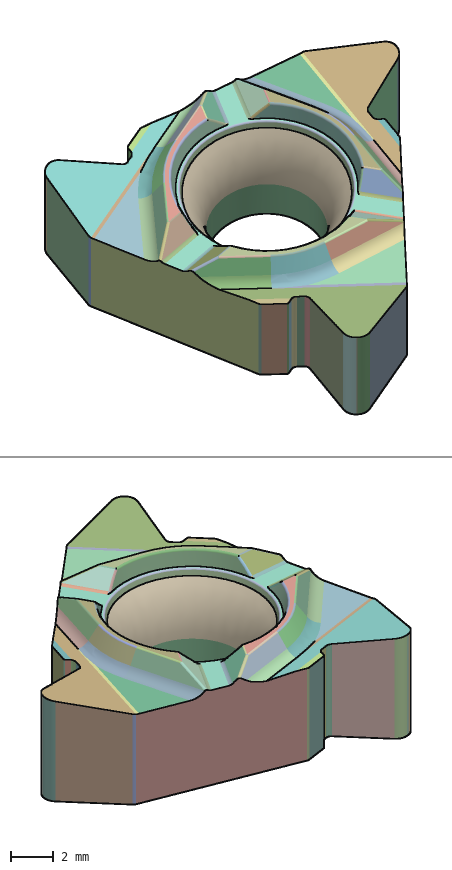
import cadquery as cq
import math


TOOTH_COUNT = 3
TOOTH_PITCH = 360 / TOOTH_COUNT
TOOTH_ANGLE = 60
NOTCH_WALL_ANGLE = 60

INSCRIBED_RADIUS = 12.7 / 2
OUTER_FLANK_DISTANCE = 8.52
INNER_FLANK_DISTANCE = 1.82
TIP_DISTANCE = 9.6
LAND_DISTANCE = 7.0
NOTCH_DISTANCE = 6.57
NOTCH_WIDTH = 0.70
TIP_RADIUS = 0.7
NOTCH_RADIUS = 0.3
LAND_RADIUS = 0.1
EDGE_RADIUS = 0.3

TOP_HEIGHT = 6.05
FLOOR_HEIGHT = 4.97
GROOVE_HEIGHT = 5.25

TOOTH_SLOPE = 9.5
CREASE_DISTANCE = 5.87
CREASE_RADIUS = 1.0
LAND_STEP_DISTANCE = 6.68
LAND_STEP_START = -1.2

SEAT_TOP_RADIUS = 4.84
SEAT_DRAFT = 36
SEAT_ARC_START = 90
SEAT_ARC_END = 122
SEAT_BASE_FILLET = 0.8
SEAT_EDGE_FILLET = 0.12

GROOVE_ANGLE = (SEAT_ARC_START + SEAT_ARC_END - TOOTH_PITCH) / 2
GROOVE_HALF_WIDTH = 0.55
GROOVE_TOP_HALF_WIDTH = 1.54
GROOVE_CORNER_RADIUS = 0.3

BORE_RADIUS = 5.7 / 2
BOWL_RADIUS = 4.0
BOWL_ANGLE = 44
RECESS_TOP_RADIUS = 4.50
RECESS_BOTTOM_RADIUS = 4.27
LIP_FILLET = 0.1
LIP_RADIUS = 4.10
LIP_DROP = 0.33

MARGIN = 1.0
REACH = 15.0
TOLERANCE = 0.01


def point_at(radius, angle):
    """Point at a radius and an angle in degrees."""
    return (radius * math.cos(math.radians(angle)), radius * math.sin(math.radians(angle)))


def rotated(point, angle):
    """Point turned about the origin by an angle in degrees."""
    c = math.cos(math.radians(angle))
    s = math.sin(math.radians(angle))
    return (c * point[0] - s * point[1], s * point[0] + c * point[1])


def line_crossing(line_a, line_b):
    """Crossing of two lines, each a (normal angle, distance from the origin) pair."""
    (angle_a, distance_a), (angle_b, distance_b) = line_a, line_b
    normal_a = point_at(1, angle_a)
    normal_b = point_at(1, angle_b)
    determinant = normal_a[0] * normal_b[1] - normal_a[1] * normal_b[0]
    x = (distance_a * normal_b[1] - distance_b * normal_a[1]) / determinant
    y = (distance_b * normal_a[0] - distance_a * normal_b[0]) / determinant
    return (x, y)


def rounded_polygon(plane, corners):
    """Closed outline through (point, radius) corners, each rounded by a tangent arc."""
    stretches = []
    for i, (corner, radius) in enumerate(corners):
        here = cq.Vector(*corner)
        to_previous = (cq.Vector(*corners[i - 1][0]) - here).normalized()
        to_next = (cq.Vector(*corners[(i + 1) % len(corners)][0]) - here).normalized()
        if radius == 0:
            stretches.append([here])
            continue
        half_angle = to_previous.getAngle(to_next) / 2
        setback = radius / math.tan(half_angle)
        bisector = (to_previous + to_next).normalized()
        arc_middle = here + bisector * (radius / math.sin(half_angle) - radius)
        stretches.append([here + to_previous * setback, arc_middle, here + to_next * setback])

    outline = cq.Workplane(plane).moveTo(*stretches[0][-1].toTuple()[:2])
    for stretch in stretches[1:] + stretches[:1]:
        outline = outline.lineTo(*stretch[0].toTuple()[:2])
        if len(stretch) == 3:
            outline = outline.threePointArc(stretch[1].toTuple()[:2], stretch[2].toTuple()[:2])
    return outline.close()


def edges_at_height(height, reach):
    """Selector for the level edges at a height, no further than a reach along X and Y."""
    return cq.selectors.BoxSelector(
        (-reach, -reach, height - TOLERANCE), (reach, reach, height + TOLERANCE), boundingbox=True
    )


def around_axis(shape):
    """Shape repeated at every tooth position."""
    copies = shape
    for i in range(1, TOOTH_COUNT):
        copies = copies.union(shape.rotate((0, 0, 0), (0, 0, 1), i * TOOTH_PITCH))
    return copies


def insert_blank():
    """Full-height prism with the three teeth, notches and lands."""
    outward = 90
    flank_turn = 90 - TOOTH_ANGLE / 2
    edge_direction = 180
    edge = (edge_direction, INSCRIBED_RADIUS)
    outer_flank = (outward + flank_turn, OUTER_FLANK_DISTANCE)
    tip = (outward, TIP_DISTANCE)
    inner_flank = (outward - flank_turn, INNER_FLANK_DISTANCE)
    notch = (outward, NOTCH_DISTANCE)
    land = (outward, LAND_DISTANCE)
    next_edge = (edge_direction - TOOTH_PITCH, INSCRIBED_RADIUS)

    notch_start = line_crossing(inner_flank, notch)
    notch_end = (notch_start[0] + NOTCH_WIDTH, NOTCH_DISTANCE)
    notch_run = (LAND_DISTANCE - NOTCH_DISTANCE) / math.tan(math.radians(NOTCH_WALL_ANGLE))
    land_start = (notch_end[0] + notch_run, LAND_DISTANCE)

    tooth_corners = [
        (line_crossing(edge, outer_flank), EDGE_RADIUS),
        (line_crossing(outer_flank, tip), TIP_RADIUS),
        (line_crossing(tip, inner_flank), TIP_RADIUS),
        (notch_start, NOTCH_RADIUS),
        (notch_end, NOTCH_RADIUS),
        (land_start, LAND_RADIUS),
        (line_crossing(land, next_edge), EDGE_RADIUS),
    ]
    corners = []
    for i in range(TOOTH_COUNT):
        corners += [(rotated(point, -i * TOOTH_PITCH), radius) for point, radius in tooth_corners]
    return rounded_polygon("XY", corners).extrude(TOP_HEIGHT + MARGIN)


def tooth_face_height(distance):
    """Height of the sloping tooth face at a distance from the axis."""
    return FLOOR_HEIGHT + (distance - CREASE_DISTANCE) * math.tan(math.radians(TOOTH_SLOPE))


def tooth_wedges():
    """Material under the tooth faces, which rise from the floor towards the tips."""
    start = CREASE_DISTANCE - MARGIN
    end = TIP_DISTANCE + MARGIN
    section = [
        ((start, 0), 0),
        ((end, 0), 0),
        ((end, tooth_face_height(end)), 0),
        ((CREASE_DISTANCE, FLOOR_HEIGHT), CREASE_RADIUS),
        ((start, FLOOR_HEIGHT), 0),
    ]
    wedge = rounded_polygon("YZ", section).extrude(REACH, both=True)
    land_height = tooth_face_height(LAND_STEP_DISTANCE)
    land_corner = (LAND_STEP_START, LAND_STEP_DISTANCE, land_height)
    land_clearance = cq.Workplane("XY").box(REACH, REACH, REACH, centered=False).translate(land_corner)
    return around_axis(wedge.cut(land_clearance))


def seat_on_floor():
    """Floor slab carrying the drafted seat, with a fillet where they meet."""
    draft_run = (TOP_HEIGHT - FLOOR_HEIGHT) * math.tan(math.radians(SEAT_DRAFT))
    base_radius = SEAT_TOP_RADIUS + draft_run

    middle_angle = (SEAT_ARC_START + SEAT_ARC_END) / 2
    corner_line = (SEAT_ARC_END - TOOTH_PITCH, base_radius)
    corner = line_crossing((SEAT_ARC_START, base_radius), corner_line)
    outline = cq.Workplane("XY").workplane(offset=FLOOR_HEIGHT).moveTo(*corner)
    for i in range(TOOTH_COUNT):
        turn = i * TOOTH_PITCH
        outline = outline.lineTo(*point_at(base_radius, SEAT_ARC_START + turn))
        outline = outline.threePointArc(
            point_at(base_radius, middle_angle + turn), point_at(base_radius, SEAT_ARC_END + turn)
        )
        if i < TOOTH_COUNT - 1:
            outline = outline.lineTo(*rotated(corner, turn + TOOTH_PITCH))
    seat = outline.close().extrude(TOP_HEIGHT - FLOOR_HEIGHT, taper=SEAT_DRAFT)

    slab = cq.Workplane("XY").circle(REACH).extrude(FLOOR_HEIGHT)
    return slab.union(seat).edges(edges_at_height(FLOOR_HEIGHT, 2 * base_radius)).fillet(SEAT_BASE_FILLET)


def groove_cutters():
    """Trapezoidal radial grooves with rounded bottom corners."""
    wall_slope = (GROOVE_TOP_HALF_WIDTH - GROOVE_HALF_WIDTH) / (TOP_HEIGHT - GROOVE_HEIGHT)
    mouth_half_width = GROOVE_TOP_HALF_WIDTH + MARGIN * wall_slope
    mouth_height = TOP_HEIGHT + MARGIN
    section = [
        ((-GROOVE_HALF_WIDTH, GROOVE_HEIGHT), GROOVE_CORNER_RADIUS),
        ((GROOVE_HALF_WIDTH, GROOVE_HEIGHT), GROOVE_CORNER_RADIUS),
        ((mouth_half_width, mouth_height), 0),
        ((-mouth_half_width, mouth_height), 0),
    ]
    groove = rounded_polygon("YZ", section).extrude(REACH)
    return around_axis(groove.rotate((0, 0, 0), (0, 0, 1), GROOVE_ANGLE))


def hole_cutter():
    """Straight bore opening through a convex bowl into the recess inside the seat."""
    bowl_end_radius = BORE_RADIUS + BOWL_RADIUS * (1 - math.cos(math.radians(BOWL_ANGLE)))
    bowl_top = GROOVE_HEIGHT - LIP_DROP
    bowl_bottom = bowl_top - BOWL_RADIUS * math.sin(math.radians(BOWL_ANGLE))
    bowl_centre_radius = BORE_RADIUS + BOWL_RADIUS
    half_bowl = point_at(BOWL_RADIUS, BOWL_ANGLE / 2)
    bowl_middle = (bowl_centre_radius - half_bowl[0], bowl_bottom + half_bowl[1])
    cutter = (
        cq.Workplane("XZ")
        .moveTo(0, -MARGIN)
        .lineTo(BORE_RADIUS, -MARGIN)
        .lineTo(BORE_RADIUS, bowl_bottom)
        .threePointArc(bowl_middle, (bowl_end_radius, bowl_top))
        .lineTo(LIP_RADIUS, GROOVE_HEIGHT)
        .lineTo(RECESS_BOTTOM_RADIUS, GROOVE_HEIGHT)
        .lineTo(RECESS_TOP_RADIUS, TOP_HEIGHT)
        .lineTo(0, TOP_HEIGHT)
        .close()
        .revolve(360, (0, 0, 0), (0, 1, 0))
    )
    return cutter.edges(edges_at_height(GROOVE_HEIGHT, LIP_RADIUS + TOLERANCE)).fillet(LIP_FILLET)


def is_seat_top_edge(edge):
    """True for the sharp edges that bound or run down from the top of the seat."""
    box = edge.BoundingBox()
    reaches_top = box.zmax > TOP_HEIGHT - TOLERANCE
    start, end = edge.startPoint(), edge.endPoint()
    is_radial_seam = abs(start.x * end.y - start.y * end.x) < TOLERANCE
    return reaches_top and not is_radial_seam


def divided_seat():
    """Seat with its grooves, its screw hole and rounded upper edges."""
    seat = seat_on_floor().cut(groove_cutters()).cut(hole_cutter())
    edges = [edge for edge in seat.edges().vals() if is_seat_top_edge(edge)]
    return seat.newObject(edges).fillet(SEAT_EDGE_FILLET)


result = divided_seat().union(tooth_wedges()).intersect(insert_blank())